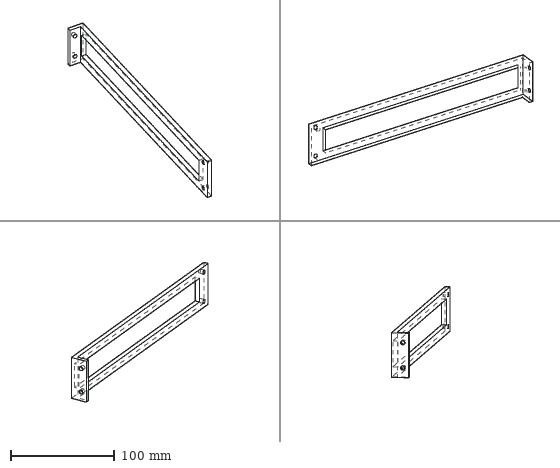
import cadquery as cq

length = 250.0
depth = 17.0
height = 44.0

plate_thickness = 5.0
window_start = 6.25
window_length = 227.25
window_height = 25.5
plate_hole_diameter = 4.0
plate_hole_end_offset = 8.0
plate_hole_spacing = 31.5

flange_thickness = 4.0
flange_reach = depth - plate_thickness
flange_hole_diameter = 4.0
flange_hole_spacing = 25.0
flange_hole_edge_offset = flange_reach / 2

mid_height = height / 2


def box(x_size, y_size, z_size):
    """Box with its lowest corner at the origin."""
    return cq.Workplane("XY").box(x_size, y_size, z_size, centered=False)


def heights_about_middle(spacing):
    """Heights of a pair of holes placed symmetrically about mid height."""
    return [mid_height - spacing / 2, mid_height + spacing / 2]


def make_plate():
    """Long plate with a rectangular window and two holes at its far end."""
    plate = box(length, plate_thickness, height).translate((0, -plate_thickness, 0))
    window = box(window_length, plate_thickness, window_height).translate(
        (window_start, -plate_thickness, mid_height - window_height / 2)
    )
    plate = plate.cut(window)
    hole_x = length - plate_hole_end_offset
    for hole_z in heights_about_middle(plate_hole_spacing):
        hole = (
            cq.Workplane("XZ")
            .center(hole_x, hole_z)
            .circle(plate_hole_diameter / 2)
            .extrude(plate_thickness)
        )
        plate = plate.cut(hole)
    return plate


def make_flange():
    """Short flange square to the plate, with two through holes."""
    flange = box(flange_thickness, flange_reach, height).translate((0, -depth, 0))
    hole_y = flange_hole_edge_offset - depth
    for hole_z in heights_about_middle(flange_hole_spacing):
        hole = (
            cq.Workplane("YZ")
            .center(hole_y, hole_z)
            .circle(flange_hole_diameter / 2)
            .extrude(flange_thickness)
        )
        flange = flange.cut(hole)
    return flange


result = make_plate().union(make_flange(), clean=False)